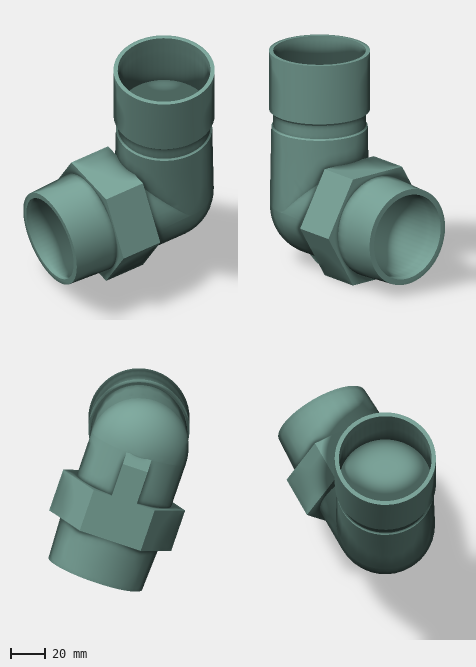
import cadquery as cq
import math

HEIGHT = 127.2

HEX_ACROSS_CORNERS = 75.0
HEX_BACK = 26.7
HEX_FRONT = 52.2
hex_apothem = HEX_ACROSS_CORNERS / 2 * math.cos(math.pi / 6)

SPIGOT_END = 79.0
SPIGOT_ROOT_RADIUS = 30.1
SPIGOT_TIP_RADIUS = 28.9

ELBOW_RADIUS = 29.0

SOCKET_RADIUS = 59.0 / 2
SOCKET_BORE_RADIUS = 54.0 / 2
SOCKET_BORE_DEPTH = 33.3
SOCKET_LENGTH = 37.1
SOCKET_CHAMFER = 1.4
NECK_RADIUS = 54.0 / 2
NECK_BOTTOM_DEPTH = 45.5
SHOULDER_DEPTH = 46.3
SHOULDER_RADIUS = 28.1
rim_z = HEIGHT - hex_apothem
neck_bottom_z = rim_z - NECK_BOTTOM_DEPTH
shoulder_z = rim_z - SHOULDER_DEPTH

BORE_RADIUS = 51.0 / 2

RIB_WIDTH = 15.3
RIB_TOE_LENGTH = 6.7
RIB_TOE_HEIGHT = 4.0


def branch_cylinder(radius, start, end):
    """Cylinder along -Y between two distances from the riser axis."""
    plane = cq.Workplane("XZ", origin=(0, -start, 0))
    return plane.circle(radius).extrude(end - start)


def make_riser():
    """Tapered lower riser, narrow neck and chamfered socket, revolved about Z."""
    socket_bottom_z = rim_z - SOCKET_LENGTH
    profile = [
        (0, 0),
        (ELBOW_RADIUS, 0),
        (SHOULDER_RADIUS, shoulder_z),
        (NECK_RADIUS, neck_bottom_z),
        (NECK_RADIUS, socket_bottom_z),
        (SOCKET_RADIUS - SOCKET_CHAMFER, socket_bottom_z),
        (SOCKET_RADIUS, socket_bottom_z + SOCKET_CHAMFER),
        (SOCKET_RADIUS, rim_z),
        (0, rim_z),
    ]
    return cq.Workplane("XZ").polyline(profile).close().revolve(360, (0, 0), (0, 1))


def make_elbow():
    """Spherical corner joined to the branch cylinder."""
    corner = cq.Workplane("XY").sphere(ELBOW_RADIUS)
    return corner.union(branch_cylinder(ELBOW_RADIUS, 0, HEX_BACK))


def make_hex():
    """Wrench collar with corners on the X axis."""
    plane = cq.Workplane("XZ", origin=(0, -HEX_BACK, 0))
    return plane.polygon(6, HEX_ACROSS_CORNERS).extrude(HEX_FRONT - HEX_BACK)


def make_spigot():
    """Cone frustum narrowing towards the open end, revolved about Y."""
    profile = [
        (0, -HEX_FRONT),
        (SPIGOT_ROOT_RADIUS, -HEX_FRONT),
        (SPIGOT_TIP_RADIUS, -SPIGOT_END),
        (0, -SPIGOT_END),
    ]
    return cq.Workplane("XY").polyline(profile).close().revolve(360, (0, 0), (0, 1))


def make_rib():
    """Bottom rib running into the collar, flush with its lower flat."""
    profile = [
        (0, 0),
        (0, RIB_TOE_HEIGHT - hex_apothem),
        (-RIB_TOE_LENGTH, -hex_apothem),
        (-HEX_BACK, -hex_apothem),
        (-HEX_BACK, 0),
    ]
    return cq.Workplane("YZ").polyline(profile).close().extrude(RIB_WIDTH / 2, both=True)


def make_bend_bore():
    """Branch bore turning up into the riser, closed off below the neck."""
    bend = cq.Workplane("XY").sphere(BORE_RADIUS)
    upright = cq.Workplane("XY").circle(BORE_RADIUS).extrude(shoulder_z)
    return bend.union(upright).union(branch_cylinder(BORE_RADIUS, 0, SPIGOT_END))


def make_socket_bore():
    """Blind, flat-bottomed bore from the rim."""
    floor = cq.Workplane("XY", origin=(0, 0, rim_z - SOCKET_BORE_DEPTH))
    return floor.circle(SOCKET_BORE_RADIUS).extrude(SOCKET_BORE_DEPTH)


body = make_riser().union(make_elbow()).union(make_rib())
body = body.union(make_hex()).union(make_spigot())
result = body.cut(make_bend_bore()).cut(make_socket_bore())